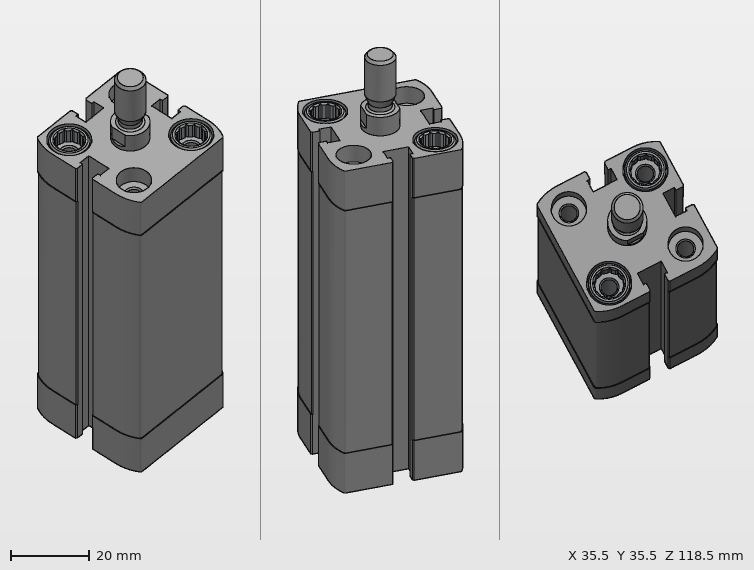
import cadquery as cq
import math

TOTAL_HEIGHT = 118.5
HOUSING_HEIGHT = 97.0
CAP_WIDTH = 35.5
CAP_HEIGHT = 12.0

BARREL_INSET = 0.18
CROWN_START_X = 10.9
CROWN_RADIUS = 13.0
CAP_EDGE_FILLET = 0.6
BARREL_EDGE_FILLET = 1.2

SLOT_MOUTH_WIDTH = 5.2
SLOT_INNER_WIDTH = 6.9
SLOT_LIP_DEPTH = 2.4
SLOT_DEPTH = 5.7
SLOT_LIP_CHAMFER = 0.4
SLOT_ANGLES = (90, 180, 270)

HOLE_OFFSET = 11.0
HOLE_DIAMETER = 4.1
HOLE_MOUTH_DIAMETER = 5.0
PLAIN_BORE_DIAMETER = 9.0
PLAIN_BORE_DEPTH = 5.0

COLLAR_RECESS_DIAMETER = 11.5
COLLAR_DIAMETER = 10.5
COLLAR_BORE_DIAMETER = 7.5
COLLAR_BORE_DEPTH = 4.5
COLLAR_CHAMFER = 0.5
SPLINE_COUNT = 12
SPLINE_ROOT_DIAMETER = 8.0

ROD_DIAMETER = 10.1
SHOULDER_HEIGHT = 5.6
FLATS_WIDTH = 9.0
FLATS_BOTTOM = 1.4
FLATS_RUNOUT = 0.4
NECK_DIAMETER = 6.2
NECK_HEIGHT = 1.7
NECK_FLARE_DIAMETER = 7.5
NECK_FLARE_HEIGHT = 0.4
THREAD_DIAMETER = 8.0
THREAD_RUNOUT = 2.4
TIP_DIAMETER = 6.6
TIP_CHAMFER_HEIGHT = 0.8


def slab(inset, edge_fillet, bottom, height):
    """Solid block with arc-crowned corners and filleted vertical edges on the +X/-X sides."""
    half = CAP_WIDTH / 2 - inset
    radius = CROWN_RADIUS - inset

    def arc_height(x):
        run = x - CROWN_START_X
        return half - radius + math.sqrt(radius**2 - run**2)

    mid_x = (CROWN_START_X + half) / 2
    mid_y = arc_height(mid_x)
    edge_y = arc_height(half)
    block = (
        cq.Workplane("XY", origin=(0, 0, bottom))
        .moveTo(-CROWN_START_X, half)
        .lineTo(CROWN_START_X, half)
        .threePointArc((mid_x, mid_y), (half, edge_y))
        .lineTo(half, -edge_y)
        .threePointArc((mid_x, -mid_y), (CROWN_START_X, -half))
        .lineTo(-CROWN_START_X, -half)
        .threePointArc((-mid_x, -mid_y), (-half, -edge_y))
        .lineTo(-half, edge_y)
        .threePointArc((-mid_x, mid_y), (-CROWN_START_X, half))
        .close()
        .extrude(height)
    )
    return block.edges("|Z").edges(">X or <X").fillet(edge_fillet)


def slot_cutter(inset, bottom, height):
    """T-slot opening toward +X, with its mouth chamfered where it meets the side face."""
    face_x = CAP_WIDTH / 2 - inset
    lip_x = CAP_WIDTH / 2 - SLOT_LIP_DEPTH
    floor_x = CAP_WIDTH / 2 - SLOT_DEPTH
    mouth = SLOT_MOUTH_WIDTH / 2
    inner = SLOT_INNER_WIDTH / 2
    chamfer = SLOT_LIP_CHAMFER
    return (
        cq.Workplane("XY", origin=(0, 0, bottom))
        .moveTo(floor_x, -inner)
        .lineTo(lip_x, -inner)
        .lineTo(lip_x, -mouth)
        .lineTo(face_x - chamfer, -mouth)
        .lineTo(face_x, -mouth - chamfer)
        .lineTo(face_x, mouth + chamfer)
        .lineTo(face_x - chamfer, mouth)
        .lineTo(lip_x, mouth)
        .lineTo(lip_x, inner)
        .lineTo(floor_x, inner)
        .close()
        .extrude(height)
    )


def profile_section(inset, edge_fillet, bottom, height):
    """One length of the housing: the crowned block with its T-slots."""
    section = slab(inset, edge_fillet, bottom, height)
    cutter = slot_cutter(inset, bottom, height)
    for angle in SLOT_ANGLES:
        section = section.cut(cutter.rotate((0, 0, 0), (0, 0, 1), angle))
    return section


def revolve_profile(points):
    """Solid of revolution about Z from (radius, z) points."""
    return cq.Workplane("XZ").polyline(points).close().revolve(360, (0, 0, 0), (0, 1, 0))


def bolt_hole_cutter(floor_z):
    """Through hole with a small conical mouth at the given floor level."""
    hole = HOLE_DIAMETER / 2
    mouth = HOLE_MOUTH_DIAMETER / 2
    cone_z = floor_z - (mouth - hole)
    return revolve_profile([(0, 0), (hole, 0), (hole, cone_z), (mouth, floor_z), (0, floor_z)])


def plain_corner_cutter():
    """Counterbored through hole."""
    floor_z = HOUSING_HEIGHT - PLAIN_BORE_DEPTH
    bore = cq.Workplane("XY", origin=(0, 0, floor_z)).circle(PLAIN_BORE_DIAMETER / 2).extrude(PLAIN_BORE_DEPTH)
    return bolt_hole_cutter(floor_z).union(bore)


def spline_cutter(floor_z):
    """V-grooves that widen the collar bore; grooves and lands are equally wide at the bore."""
    bore = COLLAR_BORE_DIAMETER / 2
    root = SPLINE_ROOT_DIAMETER / 2
    pitch = 360 / SPLINE_COUNT
    half_angle = math.radians(pitch / 4)
    edge_x = bore * math.cos(half_angle)
    edge_y = bore * math.sin(half_angle)
    groove = (
        cq.Workplane("XY", origin=(0, 0, floor_z))
        .polyline([(0, 0), (edge_x, -edge_y), (root, 0), (edge_x, edge_y)])
        .close()
        .extrude(COLLAR_BORE_DEPTH)
    )
    cutter = groove
    for index in range(1, SPLINE_COUNT):
        cutter = cutter.union(groove.rotate((0, 0, 0), (0, 0, 1), index * pitch))
    return cutter


def collar_corner_cutter():
    """Through hole below a chamfered, splined bore, with a ring-shaped gap that leaves a collar standing."""
    top = HOUSING_HEIGHT
    floor_z = top - COLLAR_BORE_DEPTH
    bore = COLLAR_BORE_DIAMETER / 2
    collar = COLLAR_DIAMETER / 2
    recess = COLLAR_RECESS_DIAMETER / 2
    chamfer_z = top - COLLAR_CHAMFER
    collar_bore = revolve_profile(
        [(0, floor_z), (bore, floor_z), (bore, chamfer_z), (bore + COLLAR_CHAMFER, top), (0, top)]
    )
    gap = revolve_profile(
        [
            (collar, floor_z),
            (recess, floor_z),
            (recess, top),
            (collar - COLLAR_CHAMFER, top),
            (collar, chamfer_z),
        ]
    )
    return bolt_hole_cutter(floor_z).union(collar_bore).union(spline_cutter(floor_z)).union(gap)


def make_housing():
    barrel_height = HOUSING_HEIGHT - 2 * CAP_HEIGHT
    upper_cap_z = HOUSING_HEIGHT - CAP_HEIGHT
    housing = (
        profile_section(0, CAP_EDGE_FILLET, 0, CAP_HEIGHT)
        .union(profile_section(BARREL_INSET, BARREL_EDGE_FILLET, CAP_HEIGHT, barrel_height))
        .union(profile_section(0, CAP_EDGE_FILLET, upper_cap_z, CAP_HEIGHT))
    )
    for side in (-1, 1):
        x = side * HOLE_OFFSET
        housing = housing.cut(plain_corner_cutter().translate((x, -x, 0)))
        housing = housing.cut(collar_corner_cutter().translate((x, x, 0)))
    return housing


def make_rod():
    """Turned piston rod standing on the housing, with two wrench flats on its shoulder."""
    base = HOUSING_HEIGHT
    shoulder_top = base + SHOULDER_HEIGHT
    neck_top = shoulder_top + NECK_HEIGHT
    runout_top = neck_top + THREAD_RUNOUT
    tip_base = TOTAL_HEIGHT - TIP_CHAMFER_HEIGHT
    rod = revolve_profile(
        [
            (0, base),
            (ROD_DIAMETER / 2, base),
            (ROD_DIAMETER / 2, shoulder_top),
            (NECK_FLARE_DIAMETER / 2, shoulder_top),
            (NECK_DIAMETER / 2, shoulder_top + NECK_FLARE_HEIGHT),
            (NECK_DIAMETER / 2, neck_top),
            (THREAD_DIAMETER / 2, runout_top),
            (THREAD_DIAMETER / 2, tip_base),
            (TIP_DIAMETER / 2, TOTAL_HEIGHT),
            (0, TOTAL_HEIGHT),
        ]
    )
    flat_y = FLATS_WIDTH / 2
    flat_step = ROD_DIAMETER / 2 - flat_y
    flat_z = base + FLATS_BOTTOM
    for side in (-1, 1):
        flat = (
            cq.Workplane("YZ")
            .polyline(
                [
                    (side * flat_y, flat_z),
                    (side * (flat_y + flat_step), flat_z - FLATS_RUNOUT),
                    (side * (flat_y + flat_step), shoulder_top),
                    (side * flat_y, shoulder_top),
                ]
            )
            .close()
            .extrude(ROD_DIAMETER / 2, both=True)
        )
        rod = rod.cut(flat)
    return rod


housing = make_housing()
rod = make_rod()
result = cq.Compound.makeCompound([housing.val(), rod.val()])